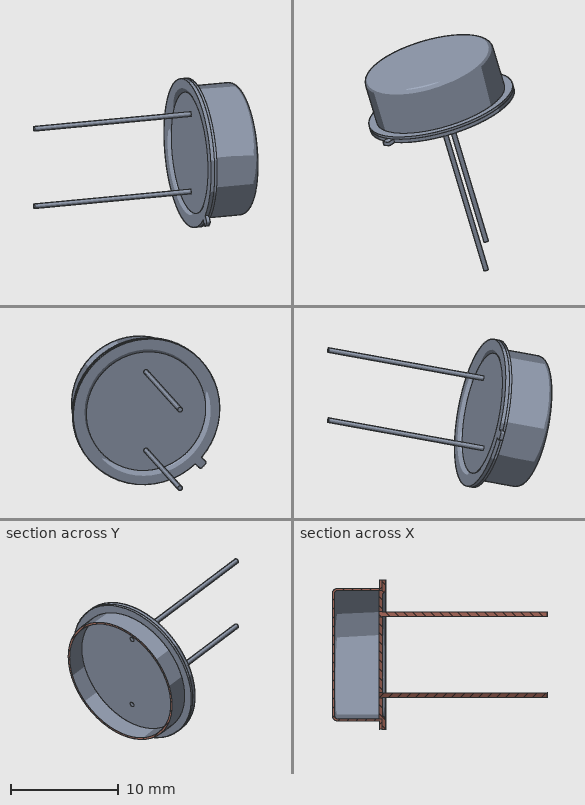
import cadquery as cq
import math


FLANGE_RADIUS = 13.9 / 2
HEADER_RIM_THICKNESS = 0.35
CAP_BRIM_THICKNESS = 0.25
FLANGE_THICKNESS = HEADER_RIM_THICKNESS + CAP_BRIM_THICKNESS

CAN_HEIGHT = 5.0
CAP_RADIUS = 6.18
CAP_WALL = 0.25
CAP_EDGE_ROUND = 0.5
CAP_INNER_RADIUS = CAP_RADIUS - CAP_WALL

RECESS_RIM_RADIUS = 6.12
RECESS_DEPTH = 0.3
LIP_ROUND = 0.5
LIP_SWEEP = math.acos(1 - RECESS_DEPTH / LIP_ROUND)
HEADER_PLATE_THICKNESS = HEADER_RIM_THICKNESS
HEADER_INNER_FACE = RECESS_DEPTH + HEADER_PLATE_THICKNESS

TAB_WIDTH = 0.85
TAB_REACH = 7.65
TAB_CORNER_ROUND = 0.15
TAB_ANGLE = 45.0

LEAD_LENGTH = 15.0
LEAD_RADIUS = 0.45 / 2
LEAD_PITCH = 7.5


def cylinder(radius, start, end):
    """Solid cylinder about the Y axis, between two Y positions."""
    return cq.Workplane("XZ", origin=(0, start, 0)).circle(radius).extrude(start - end)


def make_cap():
    """Hollow can with a rounded closed end and a flat brim."""
    can = cylinder(CAP_RADIUS, HEADER_RIM_THICKNESS, CAN_HEIGHT).faces(">Y").edges().fillet(CAP_EDGE_ROUND)
    brim = cylinder(FLANGE_RADIUS, HEADER_RIM_THICKNESS, FLANGE_THICKNESS)
    cavity = cylinder(CAP_INNER_RADIUS, HEADER_RIM_THICKNESS, CAN_HEIGHT - CAP_WALL)
    cavity = cavity.faces(">Y").edges().fillet(CAP_EDGE_ROUND - CAP_WALL)
    return can.union(brim).cut(cavity)


def make_tab():
    """Radial index tab, as thick as the header rim, with rounded outer corners."""
    tab = (
        cq.Workplane("XY")
        .box(TAB_REACH - RECESS_RIM_RADIUS, HEADER_RIM_THICKNESS, TAB_WIDTH, centered=(False, False, True))
        .translate((RECESS_RIM_RADIUS, 0, 0))
        .edges("|Y and >X")
        .fillet(TAB_CORNER_ROUND)
    )
    return tab.rotate((0, 0, 0), (0, 1, 0), TAB_ANGLE)


def lip_point(angle):
    """Section point on the lip arc, at an angle swept from the flange face."""
    return (RECESS_RIM_RADIUS - LIP_ROUND * math.sin(angle), LIP_ROUND * (1 - math.cos(angle)))


def make_header():
    """Dished plate that closes the can, revolved from half of its section."""
    dish = (
        cq.Workplane("XY")
        .moveTo(0, RECESS_DEPTH)
        .lineTo(*lip_point(LIP_SWEEP))
        .threePointArc(lip_point(LIP_SWEEP / 2), lip_point(0))
        .lineTo(FLANGE_RADIUS, 0)
        .lineTo(FLANGE_RADIUS, HEADER_RIM_THICKNESS)
        .lineTo(CAP_INNER_RADIUS, HEADER_RIM_THICKNESS)
        .lineTo(CAP_INNER_RADIUS, HEADER_INNER_FACE)
        .lineTo(0, HEADER_INNER_FACE)
        .close()
        .revolve(360, (0, 0, 0), (0, 1, 0))
    )
    return dish.union(make_tab())


def make_lead(z):
    """Round lead, flush with the inner face of the header plate."""
    return cylinder(LEAD_RADIUS, -LEAD_LENGTH, HEADER_INNER_FACE).translate((0, 0, z))


cap = make_cap()
leads = [make_lead(side * LEAD_PITCH / 2) for side in (-1, 1)]
header = make_header()
for lead in leads:
    header = header.cut(lead)

result = cq.Compound.makeCompound([cap.val(), header.val(), *[lead.val() for lead in leads]])